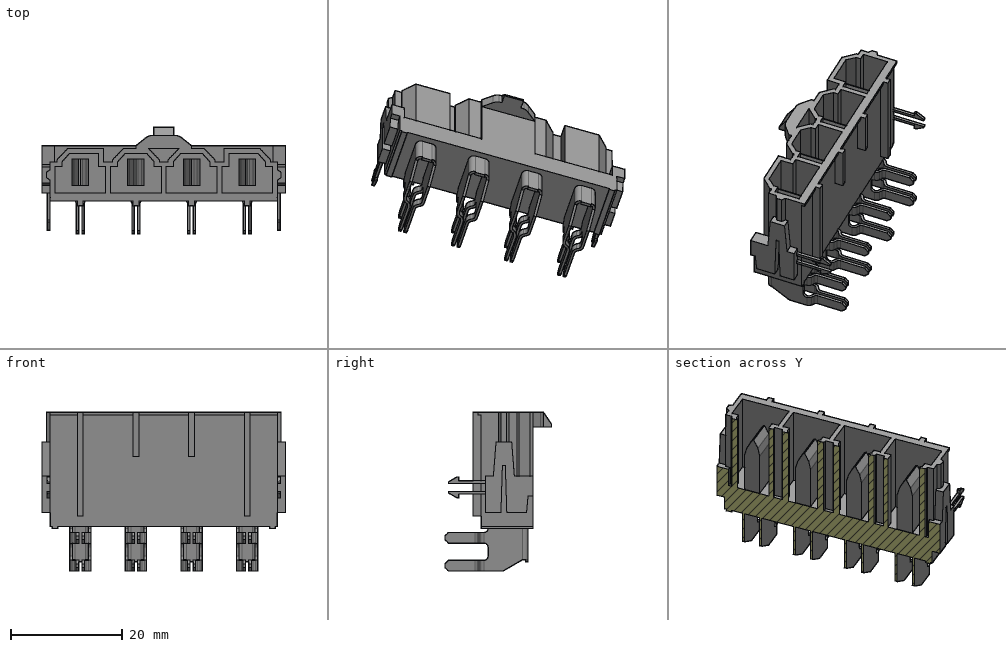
import cadquery as cq
import math


pitch = 10.0
circuits = 4
centres = [(i - (circuits - 1) / 2) * pitch for i in range(circuits)]

overall_length = 43.8
body_half = 20.4
body_depth = 9.35
body_top = 20.6
base_height = 5.48
lip_depth = 0.6
lip_height = 0.55
foot_height = 0.35
foot_width = 1.05
foot_inset = 0.35

wall = 0.9
shoulder_y = 6.45
crown_y = 8.8
crown_half = 4.2
flat_half = 2.3
chamfer_start_y = 6.8
socket_half = 4.55
socket_front_y = 0.88
socket_shoulder_y = 5.55
socket_flat_half = 1.95
end_socket_corners = {0: 1, circuits - 1: -1}

rib_depth = 1.5
rib_width = 1.05
rib_bottom_outer = 1.9
rib_bottom_inner = 12.58

key_height = 0.65
key_root_half = 0.9
key_tip_half = 0.5

latch_half = 5.0
latch_corner = 3.35
latch_flat_half = 2.35
latch_bottom = 17.9
latch_back = 11.17
latch_corner_y = 10.7
hook_half = 1.8
hook_back = 12.65
hook_edge_height = 0.53

clip_half = overall_length / 2
clip_front = 0.8
clip_bottom = 2.55
clip_shoulder = 9.05
clip_top = 15.25
clip_back_inner_x = 19.6
clip_heel_y = 8.15
clip_notch_y = 8.4
clip_y = 4.08
tower_root_half = 1.9
tower_tip_half = 1.4
slit_top = 11.0
slit_mouth_half = 0.53
slit_end_half = 0.25

lock_z = 7.05
lock_thickness = 0.53
lock_tip_y = -5.85
lock_barb_y = -4.0
lock_gap_half = 0.7
lock_leg_half = 1.23
lock_barb_half = 1.9
lock_nose_half = 1.0
lock_barb_flat = 0.4

sheet = 0.5
terminal_half = 1.93
terminal_back = 8.4
bend_radius = 1.0
terminal_bottom = -7.98
bend_bottom = -5.95
web_bottom = -6.3
heel_y = 3.95
tine_outer = 0.75
tine_end = -6.55
tine_height = 1.95
tine_tops = (-1.0, terminal_bottom + tine_height)
tine_point = 0.65
joggle_start = 0.53
joggle_end = -1.1
joggle_outer_radius = 0.9
joggle_inner_radius = 0.65
throat_y = 1.23
throat_radius = throat_y - joggle_start
terminal_embed = 0.88

blade_half = 1.5
blade_front = 2.15
blade_back = 6.95
blade_top = 17.0
blade_bottom = base_height - terminal_embed
blade_tip = [
    (-blade_half, 3.25),
    (-1.15, 1.58),
    (-0.3, 0),
    (0, 0.18),
    (0.4, 0.88),
    (1.0, 2.15),
    (blade_half, 3.8),
]


def box(x0, x1, y0, y1, z0, z1):
    return cq.Workplane("XY").box(x1 - x0, y1 - y0, z1 - z0, centered=False).translate((x0, y0, z0))


def extrude_plan(points, z0, z1):
    """Extrude an XY outline from z0 to z1."""
    return cq.Workplane("XY").workplane(offset=z0).polyline(points).close().extrude(z1 - z0)


def extrude_side(points, x0, x1):
    """Extrude a YZ outline from x0 to x1."""
    return cq.Workplane("YZ").workplane(offset=x0).polyline(points).close().extrude(x1 - x0)


def mirrored(solid):
    """Join a solid with its mirror image across X = 0."""
    return solid.union(solid.mirror("YZ"))


def crown_side(circuit, side, half, flat, foot_y, start_y, top_y):
    """Points up one side of a keyed outline, chamfered unless it is an inner side of an end circuit."""
    foot = (side * half, foot_y)
    if end_socket_corners.get(circuit) == side:
        return [foot, (side * half, top_y)]
    return [foot, (side * half, start_y), (side * flat, top_y)]


def keyed_outline(circuit, half, flat, foot_y, start_y, top_y):
    left = crown_side(circuit, -1, half, flat, foot_y, start_y, top_y)
    right = crown_side(circuit, 1, half, flat, foot_y, start_y, top_y)
    return [(centres[circuit] + x, y) for x, y in left + right[::-1]]


def shroud():
    """Base and outer wall, with the keyed crowns rising behind the plain wall."""
    solid = box(-body_half, body_half, 0, body_depth, 0, base_height)
    solid = solid.union(box(-body_half, body_half, 0, shoulder_y, 0, body_top))
    solid = solid.union(box(-body_half, body_half, -lip_depth, 0, body_top - lip_height, body_top))
    for circuit in range(circuits):
        crown = keyed_outline(circuit, crown_half, flat_half, socket_shoulder_y, chamfer_start_y, crown_y)
        solid = solid.union(extrude_plan(crown, 0, body_top))
    foot_outer = body_half - foot_inset
    foot = box(foot_outer - foot_width, foot_outer, 0, body_depth, -foot_height, 0)
    return solid.union(mirrored(foot))


def socket(circuit):
    x = centres[circuit]
    opening = box(x - socket_half, x + socket_half, socket_front_y, socket_shoulder_y, base_height, body_top)
    inner = keyed_outline(
        circuit, crown_half - wall, socket_flat_half, socket_front_y, shoulder_y, crown_y - wall
    )
    return opening.union(extrude_plan(inner, base_height, body_top))


def ribs():
    solid = cq.Workplane("XY")
    for circuit, x in enumerate(centres):
        bottom = rib_bottom_outer if circuit in end_socket_corners else rib_bottom_inner
        solid = solid.union(box(x - rib_width / 2, x + rib_width / 2, -rib_depth, 0, bottom, body_top))
    return solid


def side_keys():
    outline = [
        (body_half, clip_y - key_root_half),
        (body_half + key_height, clip_y - key_tip_half),
        (body_half + key_height, clip_y + key_tip_half),
        (body_half, clip_y + key_root_half),
    ]
    return mirrored(extrude_plan(outline, slit_top, body_top))


def latch():
    """Rear wall, rounded latch platform and the sloped hook behind it."""
    rear_wall = box(-latch_half, latch_half, crown_y, body_depth, 0, body_top)
    half_platform = (
        cq.Workplane("XY")
        .workplane(offset=latch_bottom)
        .moveTo(0, body_depth)
        .lineTo(latch_half, body_depth)
        .lineTo(latch_corner, latch_corner_y)
        .tangentArcPoint((latch_flat_half, latch_back), relative=False)
        .lineTo(0, latch_back)
        .close()
        .extrude(body_top - latch_bottom)
    )
    hook = [
        (latch_back, latch_bottom),
        (hook_back, latch_bottom),
        (hook_back, latch_bottom + hook_edge_height),
        (latch_back, body_top),
    ]
    return rear_wall.union(mirrored(half_platform)).union(extrude_side(hook, -hook_half, hook_half))


def clip():
    """Tapered clip on the +X end, slit up the middle, with a block reaching behind the end wall."""
    outline = [
        (clip_front, clip_bottom),
        (clip_y - slit_mouth_half, clip_bottom),
        (clip_y - slit_end_half, slit_top),
        (clip_y + slit_end_half, slit_top),
        (clip_y + slit_mouth_half, clip_bottom),
        (clip_heel_y, clip_bottom),
        (clip_notch_y, base_height),
        (body_depth, base_height),
        (body_depth, clip_shoulder),
        (clip_y + tower_root_half, clip_shoulder),
        (clip_y + tower_tip_half, clip_top),
        (clip_y - tower_tip_half, clip_top),
        (clip_y - tower_root_half, clip_shoulder),
        (clip_front, clip_shoulder),
    ]
    block = box(clip_back_inner_x, clip_half, shoulder_y, body_depth, base_height, clip_shoulder)
    return extrude_side(outline, body_half, clip_half).union(block)


def board_lock():
    """Pair of barbed legs reaching forward from the +X clip."""
    solid = cq.Workplane("XY")
    for side in (-1, 1):
        leg = [
            (clip_front, lock_gap_half),
            (lock_tip_y, lock_gap_half),
            (lock_tip_y, lock_nose_half),
            (lock_barb_y - lock_barb_flat, lock_barb_half),
            (lock_barb_y, lock_barb_half),
            (lock_barb_y, lock_leg_half),
            (clip_front, lock_leg_half),
        ]
        points = [(y, lock_z + side * z) for y, z in leg]
        solid = solid.union(extrude_side(points, body_half, body_half + lock_thickness))
    return solid


def cross_tangent_angle(first, second, radius_sum):
    """Downward turn from +X of the normal to the line that crosses between two tangent circles."""
    across = second[0] - first[0]
    along = second[1] - first[1]
    return -math.atan2(along, across) - math.acos(radius_sum / math.hypot(across, along))


def arc_point(centre, radius, angle):
    return (centre[0] + radius * math.cos(angle), centre[1] + radius * math.sin(angle))


def arc_points(centre, radius, start, end):
    """Middle and end points of an arc."""
    return arc_point(centre, radius, (start + end) / 2), arc_point(centre, radius, end)


def terminal_plan():
    """Folded sheet seen from above: rear web and two side plates, each joggled inward to its tines."""
    bend = (terminal_half - bend_radius, terminal_back - bend_radius)
    outer = (terminal_half - joggle_outer_radius, joggle_start)
    inner = (tine_outer + joggle_inner_radius, joggle_end)
    turn = cross_tangent_angle(outer, inner, joggle_outer_radius + joggle_inner_radius)
    inner_turn = math.pi - turn
    bend_inside = bend_radius - sheet
    outer_inside = joggle_outer_radius - sheet
    inner_inside = joggle_inner_radius + sheet
    half = (
        cq.Workplane("XY")
        .workplane(offset=terminal_bottom)
        .moveTo(0, terminal_back)
        .lineTo(bend[0], terminal_back)
        .threePointArc(*arc_points(bend, bend_radius, math.pi / 2, 0))
        .lineTo(terminal_half, joggle_start)
        .threePointArc(*arc_points(outer, joggle_outer_radius, 0, -turn))
        .lineTo(*arc_point(inner, joggle_inner_radius, inner_turn))
        .threePointArc(*arc_points(inner, joggle_inner_radius, inner_turn, math.pi))
        .lineTo(tine_outer, tine_end)
        .lineTo(tine_outer - sheet, tine_end)
        .lineTo(tine_outer - sheet, joggle_end)
        .threePointArc(*arc_points(inner, inner_inside, math.pi, inner_turn))
        .lineTo(*arc_point(outer, outer_inside, -turn))
        .threePointArc(*arc_points(outer, outer_inside, -turn, 0))
        .lineTo(terminal_half - sheet, bend[1])
        .threePointArc(*arc_points(bend, bend_inside, 0, math.pi / 2))
        .lineTo(0, terminal_back - sheet)
        .close()
        .extrude(terminal_embed - terminal_bottom)
    )
    return mirrored(half)


def terminal_side():
    """Side outline of the terminal, with two pointed tines and a rounded throat above each."""
    bend_y = terminal_back - bend_radius
    throat_tops = (terminal_embed, tine_tops[0] - tine_height)
    solid = (
        cq.Workplane("YZ")
        .workplane(offset=-terminal_half)
        .moveTo(terminal_back, terminal_embed)
        .lineTo(terminal_back, bend_bottom)
        .lineTo(bend_y, bend_bottom)
        .lineTo(heel_y, terminal_bottom)
        .lineTo(tine_end, terminal_bottom)
        .lineTo(tine_end, terminal_embed)
        .close()
        .extrude(2 * terminal_half)
    )
    for throat_top, throat_bottom in zip(throat_tops, tine_tops):
        throat = box(-terminal_half, terminal_half, tine_end, throat_y, throat_bottom, throat_top)
        solid = solid.cut(throat.edges("|X and >Y").fillet(throat_radius))
    for tine_top in tine_tops:
        for tip_z, inward in ((tine_top, -1), (tine_top - tine_height, 1)):
            corner = [
                (tine_end, tip_z),
                (tine_end + tine_point, tip_z),
                (tine_end, tip_z + inward * tine_point),
            ]
            solid = solid.cut(extrude_side(corner, -terminal_half, terminal_half))
    return solid


def terminal():
    """Folded terminal, with a tab below the flat of its rear web."""
    web_half = terminal_half - bend_radius
    tab = box(-web_half, web_half, terminal_back - sheet, terminal_back, web_bottom, bend_bottom)
    return terminal_plan().intersect(terminal_side()).union(tab)


def blade():
    """Contact blade with a ridged tip, its crest on the -X side of centre."""
    tip = [(x, blade_top - drop) for x, drop in blade_tip]
    outline = [(-blade_half, blade_bottom)] + tip + [(blade_half, blade_bottom)]
    profile = cq.Workplane("XZ", origin=(0, blade_back, 0)).polyline(outline).close()
    return profile.extrude(blade_back - blade_front)


result = shroud().union(latch()).union(side_keys()).union(ribs())
for circuit in range(circuits):
    result = result.cut(socket(circuit))
result = result.union(mirrored(clip())).union(mirrored(board_lock()))
contact = terminal().union(blade())
for x in centres:
    result = result.union(contact.translate((x, 0, 0)))